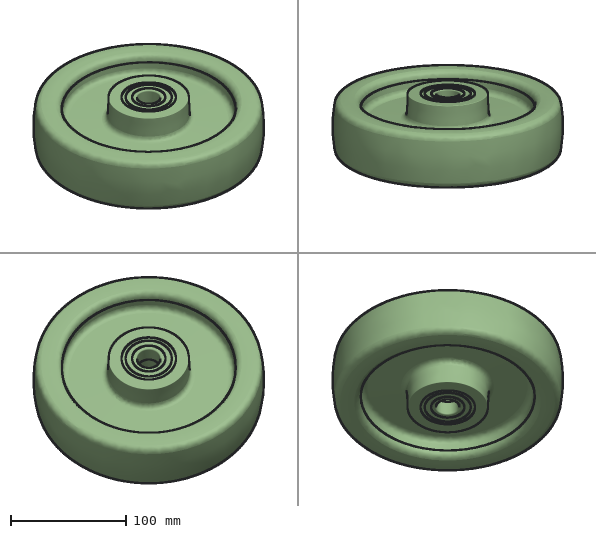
import cadquery as cq
import math

tread_radius = 99.8
tyre_width = 50.0
tyre_edge_radius = 97.5
side_crown_radius = 50.0
side_crest_radius = 85.8
tyre_bore_radius = 75.3
tyre_outer_fillet = 6.4
tyre_inner_fillet = 6.0

rim_width = 35.1
rim_outer_radius = 81.9
rim_mouth_radius = 75.0
rim_root_radius = 74.0
rim_root_fillet = 5.2
web_rim_thickness = 13.2
web_boss_thickness = 14.8
boss_length = 60.0
boss_end_radius = 34.7
boss_root_radius = 35.7
boss_root_fillet = 4.8
boss_edge_fillet = 0.4

bearing_outer_radius = 23.5
bearing_bore_radius = 10.0
bearing_width = 14.0
bearing_outer_fillet = 1.0
bearing_bore_fillet = 1.2
shield_outer_radius = 20.0
shield_inner_radius = 14.4
shield_recess = 0.4

spacer_outer_radius = shield_inner_radius
spacer_length = boss_length - 2 * bearing_width

LENGTH_TOLERANCE = 0.02


def revolve_profile(profile):
    """Revolve a closed radius/height outline about the Z axis."""
    return profile.close().revolve(360, (0, 0, 0), (0, 1, 0))


def cylinder(radius, bottom, top):
    """Solid cylinder on the Z axis between two heights."""
    return cq.Workplane("XY").circle(radius).extrude(top - bottom).translate((0, 0, bottom))


def ring(outer_radius, inner_radius, bottom, top):
    """Flat-ended tube on the Z axis between two heights."""
    return cylinder(outer_radius, bottom, top).cut(cylinder(inner_radius, bottom, top))


def fillet_circles(body, circle_radius, fillet_radius, least_height=0):
    """Round the circular edges of one radius that lie at least a given height from mid-plane."""
    edges = body.edges("%CIRCLE").filter(
        lambda edge: abs(edge.radius() - circle_radius) < LENGTH_TOLERANCE
        and abs(edge.Center().z) > least_height - LENGTH_TOLERANCE
    )
    return body.newObject(edges.vals()).fillet(fillet_radius)


def arc_drop(arc_radius, offset):
    """Fall of an arc below its crest at a sideways offset from the crest."""
    return arc_radius - math.sqrt(arc_radius**2 - offset**2)


def make_tyre():
    half_width = tyre_width / 2
    half_rim = rim_width / 2
    edge_height = half_width - arc_drop(side_crown_radius, tyre_edge_radius - side_crest_radius)
    lip_height = half_width - arc_drop(side_crown_radius, side_crest_radius - tyre_bore_radius)
    tyre = revolve_profile(
        cq.Workplane("XZ")
        .moveTo(rim_outer_radius, -half_rim)
        .lineTo(tyre_bore_radius, -half_rim)
        .lineTo(tyre_bore_radius, -lip_height)
        .threePointArc((side_crest_radius, -half_width), (tyre_edge_radius, -edge_height))
        .threePointArc((tread_radius, 0), (tyre_edge_radius, edge_height))
        .threePointArc((side_crest_radius, half_width), (tyre_bore_radius, lip_height))
        .lineTo(tyre_bore_radius, half_rim)
        .lineTo(rim_outer_radius, half_rim)
    )
    tyre = fillet_circles(tyre, tyre_edge_radius, tyre_outer_fillet)
    return fillet_circles(tyre, tyre_bore_radius, tyre_inner_fillet, lip_height)


def make_hub():
    half_rim = rim_width / 2
    half_boss = boss_length / 2
    half_web_rim = web_rim_thickness / 2
    half_web_boss = web_boss_thickness / 2
    hub = revolve_profile(
        cq.Workplane("XZ")
        .moveTo(0, -half_boss)
        .lineTo(boss_end_radius, -half_boss)
        .lineTo(boss_root_radius, -half_web_boss)
        .lineTo(rim_root_radius, -half_web_rim)
        .lineTo(rim_mouth_radius, -half_rim)
        .lineTo(rim_outer_radius, -half_rim)
        .lineTo(rim_outer_radius, half_rim)
        .lineTo(rim_mouth_radius, half_rim)
        .lineTo(rim_root_radius, half_web_rim)
        .lineTo(boss_root_radius, half_web_boss)
        .lineTo(boss_end_radius, half_boss)
        .lineTo(0, half_boss)
    )
    hub = fillet_circles(hub, rim_root_radius, rim_root_fillet)
    hub = fillet_circles(hub, boss_root_radius, boss_root_fillet)
    hub = fillet_circles(hub, boss_end_radius, boss_edge_fillet)

    half_spacer = spacer_length / 2
    hub = hub.cut(cylinder(spacer_outer_radius, -half_boss, half_boss))
    hub = hub.cut(cylinder(bearing_outer_radius, half_spacer, half_boss))
    return hub.cut(cylinder(bearing_outer_radius, -half_boss, -half_spacer))


def make_bearing(flip_angle):
    """Build the bearing in the +Z end of the boss, then turn it about X by the flip angle."""
    inner_face = spacer_length / 2
    outer_face = boss_length / 2
    bearing = ring(bearing_outer_radius, bearing_bore_radius, inner_face, outer_face)
    bearing = bearing.faces(">Z").edges(cq.selectors.RadiusNthSelector(-1)).fillet(bearing_outer_fillet)
    bearing = bearing.faces(">Z").edges(cq.selectors.RadiusNthSelector(0)).fillet(bearing_bore_fillet)
    bearing = bearing.cut(
        ring(shield_outer_radius, shield_inner_radius, outer_face - shield_recess, outer_face)
    )
    return bearing.rotate((0, 0, 0), (1, 0, 0), flip_angle)


def make_spacer():
    return ring(spacer_outer_radius, bearing_bore_radius, -spacer_length / 2, spacer_length / 2)


tyre = make_tyre()
hub = make_hub()
spacer = make_spacer()
bearings = [make_bearing(flip_angle) for flip_angle in (0, 180)]

result = cq.Compound.makeCompound(
    [tyre.val(), hub.val(), spacer.val(), *[bearing.val() for bearing in bearings]]
)